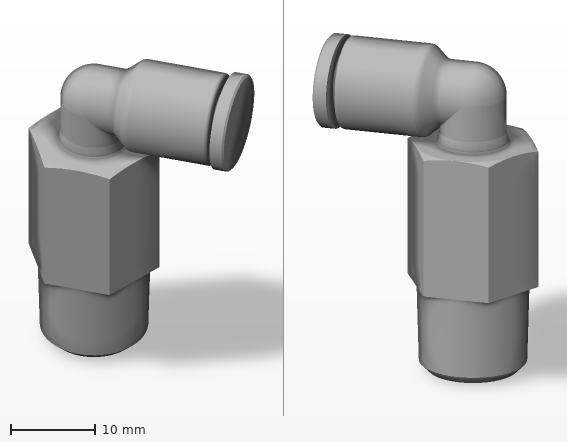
import cadquery as cq
import math


overall_height = 40

stem_tip_radius = 5.4
stem_low_radius = 6.45
stem_top_radius = 6.7
stem_bevel_height = 1.05

hex_across_flats = 14
hex_bottom = 11.0
hex_top = 28.5
hex_bevel_angle = math.radians(20)

elbow_radius = 4
neck_foot_radius = 4.25
neck_flare_height = 1.4
neck_foot_bevel = 0.2

socket_radius = 5.6
socket_axis_height = overall_height - socket_radius
arm_length = 3.1
shoulder_angle = math.radians(40)
shoulder_blend_radius = 1.0
socket_end = 15.6
socket_edge_radius = 0.4

sleeve_radius = 3.7
collar_start = 16.25
collar_end = 17.95
collar_half_width = 6.5
collar_half_height = 5.5
collar_bevel = 0.25


def make_stem():
    """Tapered stem with a beveled tip, turned about Z."""
    return (
        cq.Workplane("XZ")
        .lineTo(stem_tip_radius, 0)
        .lineTo(stem_low_radius, stem_bevel_height)
        .lineTo(stem_top_radius, hex_bottom)
        .lineTo(0, hex_bottom)
        .close()
        .revolve(360, (0, 0), (0, 1))
    )


def make_hexagon():
    """Hexagonal body whose top corners are turned off by a shallow cone."""
    flat_radius = hex_across_flats / 2
    corner_radius = flat_radius / math.cos(math.pi / 6)
    bevel_drop = (corner_radius - flat_radius) * math.tan(hex_bevel_angle)
    prism = (
        cq.Workplane("XY", origin=(0, 0, hex_bottom))
        .polygon(6, 2 * corner_radius)
        .extrude(hex_top - hex_bottom)
    )
    turned_envelope = (
        cq.Workplane("XZ")
        .moveTo(0, hex_bottom)
        .lineTo(corner_radius, hex_bottom)
        .lineTo(corner_radius, hex_top - bevel_drop)
        .lineTo(flat_radius, hex_top)
        .lineTo(0, hex_top)
        .close()
        .revolve(360, (0, 0), (0, 1))
    )
    return prism.intersect(turned_envelope)


def make_neck():
    """Upright neck with a flared foot, closed by a dome at the elbow."""
    neck = (
        cq.Workplane("XZ")
        .moveTo(0, hex_top)
        .lineTo(neck_foot_radius + neck_foot_bevel, hex_top)
        .lineTo(neck_foot_radius, hex_top + neck_foot_bevel)
        .lineTo(elbow_radius, hex_top + neck_flare_height)
        .lineTo(elbow_radius, socket_axis_height)
        .lineTo(0, socket_axis_height)
        .close()
        .revolve(360, (0, 0), (0, 1))
    )
    dome = cq.Workplane("XY", origin=(0, 0, socket_axis_height)).sphere(elbow_radius)
    return neck.union(dome)


def make_socket():
    """Arm, blended conical shoulder, socket and sleeve, turned about the socket axis."""
    blend_run = shoulder_blend_radius * math.sin(shoulder_angle)
    blend_rise = shoulder_blend_radius * (1 - math.cos(shoulder_angle))
    half_run = shoulder_blend_radius * math.sin(shoulder_angle / 2)
    half_rise = shoulder_blend_radius * (1 - math.cos(shoulder_angle / 2))
    cone_rise = socket_radius - elbow_radius - 2 * blend_rise
    cone_start = arm_length + blend_run
    cone_end = cone_start + cone_rise / math.tan(shoulder_angle)
    shoulder_end = cone_end + blend_run
    edge_half = socket_edge_radius * math.sqrt(0.5)
    edge_center_x = socket_end - socket_edge_radius
    edge_center_r = socket_radius - socket_edge_radius
    return (
        cq.Workplane("XZ", origin=(0, 0, socket_axis_height))
        .lineTo(0, elbow_radius)
        .lineTo(arm_length, elbow_radius)
        .threePointArc(
            (arm_length + half_run, elbow_radius + half_rise),
            (cone_start, elbow_radius + blend_rise),
        )
        .lineTo(cone_end, socket_radius - blend_rise)
        .threePointArc(
            (shoulder_end - half_run, socket_radius - half_rise),
            (shoulder_end, socket_radius),
        )
        .lineTo(edge_center_x, socket_radius)
        .threePointArc(
            (edge_center_x + edge_half, edge_center_r + edge_half),
            (socket_end, edge_center_r),
        )
        .lineTo(socket_end, sleeve_radius)
        .lineTo(collar_start, sleeve_radius)
        .lineTo(collar_start, 0)
        .close()
        .revolve(360, (0, 0), (1, 0))
    )


def make_collar():
    """Oval collar, wider than it is tall, with its outer edge beveled."""
    return (
        cq.Workplane("YZ", origin=(collar_start, 0, socket_axis_height))
        .ellipse(collar_half_width, collar_half_height)
        .extrude(collar_end - collar_start)
        .faces(">X")
        .chamfer(collar_bevel)
    )


result = (
    make_stem()
    .union(make_hexagon())
    .union(make_neck())
    .union(make_socket())
    .union(make_collar())
)